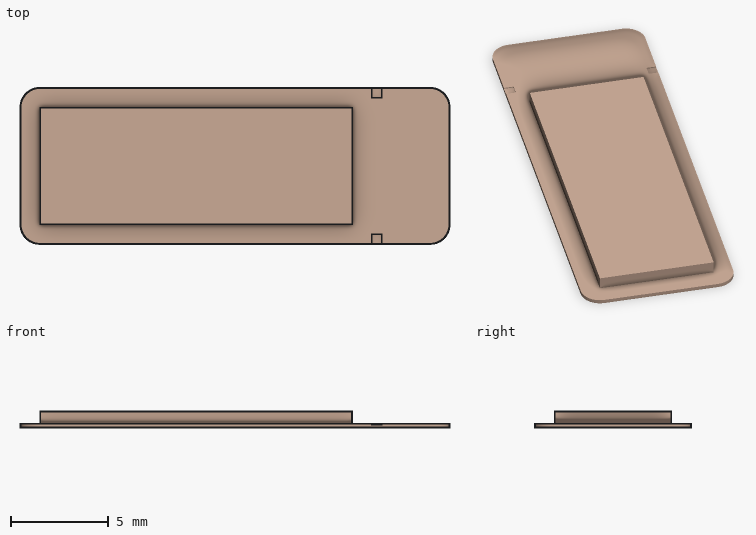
import cadquery as cq

PLATE_LENGTH = 22.0
PLATE_WIDTH = 8.0
PLATE_THICKNESS = 0.2
CORNER_RADIUS = 1.01

TOTAL_HEIGHT = 0.84
BLOCK_INSET = CORNER_RADIUS
BLOCK_LENGTH = 16.0
BLOCK_WIDTH = PLATE_WIDTH - 2 * BLOCK_INSET
BLOCK_HEIGHT = TOTAL_HEIGHT - PLATE_THICKNESS
BLOCK_CENTER_X = -PLATE_LENGTH / 2 + BLOCK_INSET + BLOCK_LENGTH / 2

RECESS_SIZE = 0.5
RECESS_DEPTH = 0.055
RECESS_CENTER_X = 7.25


def make_recess_cutter(side):
    """Cutter for one edge recess; side is +1 for the +Y edge, -1 for the -Y edge."""
    center_y = side * (PLATE_WIDTH - RECESS_SIZE) / 2
    return (
        cq.Workplane("XY", origin=(RECESS_CENTER_X, center_y, PLATE_THICKNESS - RECESS_DEPTH))
        .rect(RECESS_SIZE, RECESS_SIZE)
        .extrude(RECESS_DEPTH)
    )


def make_plate():
    """Thin plate with rounded corners and a marking recess on each long edge."""
    plate = (
        cq.Workplane("XY")
        .rect(PLATE_LENGTH, PLATE_WIDTH)
        .extrude(PLATE_THICKNESS)
        .edges("|Z")
        .fillet(CORNER_RADIUS)
    )
    for side in (-1, 1):
        plate = plate.cut(make_recess_cutter(side))
    return plate


def make_block():
    """Plain rectangular block resting on the top face of the plate."""
    return (
        cq.Workplane("XY", origin=(BLOCK_CENTER_X, 0, PLATE_THICKNESS))
        .rect(BLOCK_LENGTH, BLOCK_WIDTH)
        .extrude(BLOCK_HEIGHT)
    )


plate = make_plate()
block = make_block()

result = cq.Compound.makeCompound([plate.val(), block.val()])